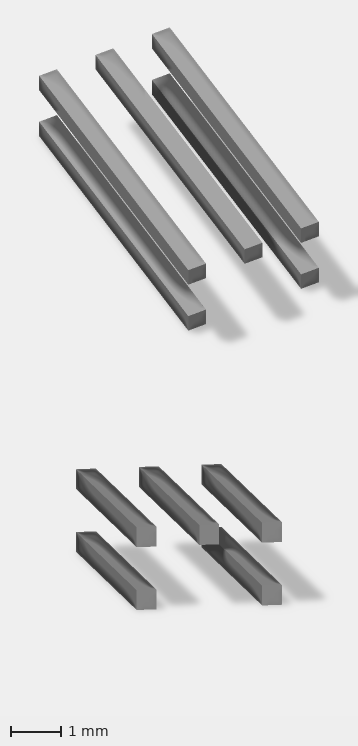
import cadquery as cq

pin_length = 6.3
pin_width = 0.4
pitch = 1.27

lower_row = [(-pitch, 0), (pitch, 0)]
upper_row = [(-pitch, pitch), (0, pitch), (pitch, pitch)]


def make_pin(y, z):
    """Straight square pin along X, centred at the given Y and Z."""
    return cq.Workplane("XY").box(pin_length, pin_width, pin_width).translate((0, y, z))


pins = [make_pin(y, z) for y, z in lower_row + upper_row]

result = cq.Compound.makeCompound([pin.val() for pin in pins])